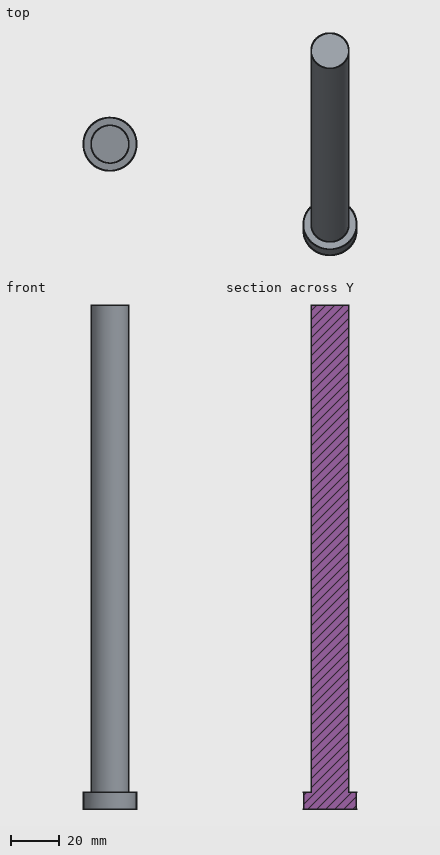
import cadquery as cq

total_length = 207.0
head_diameter = 22.0
head_height = 7.0
shank_diameter = 15.5

shank_length = total_length - head_height

head = cq.Workplane("XY").circle(head_diameter / 2).extrude(head_height)

result = head.faces(">Z").workplane().circle(shank_diameter / 2).extrude(shank_length)